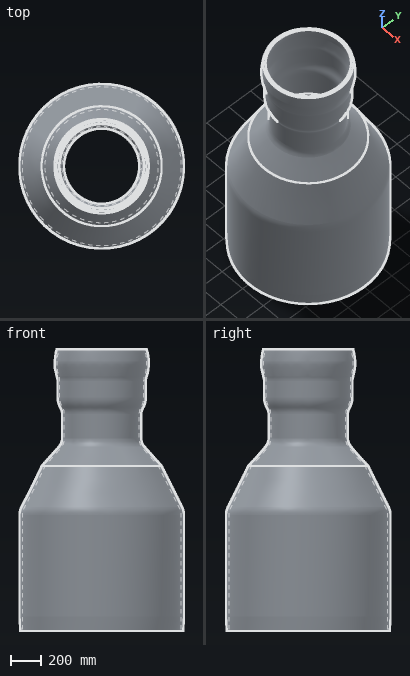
import cadquery as cq
import math

TOTAL_HEIGHT = 1880.0

PIPE_DIAMETER = 1100.0
PIPE_BORE = 1060.0
TIP_DIAMETER = 1089.0
TAPER_TOP = 98.0
SHOULDER_BOTTOM = 773.0
SHOULDER_TOP = 827.0
SHOULDER_ANGLE = 26.5

JOINT_Z = 1102.0

NECK_DIAMETER = 530.0
NECK_BORE = 500.0
SOCKET_DIAMETER = 590.0
BULGE_DIAMETER = 630.0
FLARE_BOTTOM = 1230.0
FLARE_TOP = 1284.0
FLARE_ANGLE = 41.8
SOCKET_START = 1448.0
SOCKET_BEND = 1490.0
SOCKET_FULL = 1557.0
BULGE_START = 1668.0
BULGE_BEND = 1698.0
BULGE_LOW = 1782.0
BULGE_HIGH = 1795.0

pipe_wall = (PIPE_DIAMETER - PIPE_BORE) / 2
neck_wall = (NECK_DIAMETER - NECK_BORE) / 2
pipe_radius = PIPE_DIAMETER / 2
neck_radius = NECK_DIAMETER / 2
socket_radius = SOCKET_DIAMETER / 2
bulge_radius = BULGE_DIAMETER / 2

shoulder_slope = math.radians(SHOULDER_ANGLE)
shoulder_drop = (SHOULDER_TOP - SHOULDER_BOTTOM) * math.tan(shoulder_slope / 2)
shoulder_radius = pipe_radius - shoulder_drop
joint_radius = shoulder_radius - (JOINT_Z - SHOULDER_TOP) * math.tan(shoulder_slope)
joint_bore_radius = joint_radius - pipe_wall / math.cos(shoulder_slope)


def arc_radius(low, high):
    """Signed radius of the arc between two nodes; negative where the outside is hollow."""
    return (high[1] - low[1]) / (math.sin(high[2]) - math.sin(low[2]))


def arc_middle(low, high, wall):
    """Middle point of the arc between two nodes, moved inward by the wall thickness."""
    radius = arc_radius(low, high)
    angle = (low[2] + high[2]) / 2
    center_r = low[0] - radius * math.cos(low[2])
    center_z = low[1] - radius * math.sin(low[2])
    reach = radius - wall
    return (center_r + reach * math.cos(angle), center_z + reach * math.sin(angle))


def inward(node, wall):
    """Point on the inner face opposite a node of the outer face."""
    r, z, angle = node
    return (r - wall * math.cos(angle), z - wall * math.sin(angle))


def draw_side(sketch, nodes, wall):
    """Continue a sketch along nodes (radius, height, normal angle); a turning normal means an arc."""
    for start, end in zip(nodes, nodes[1:]):
        low, high = sorted((start, end), key=lambda node: node[1])
        if math.isclose(low[2], high[2]):
            sketch = sketch.lineTo(*inward(end, wall))
        else:
            sketch = sketch.threePointArc(arc_middle(low, high, wall), inward(end, wall))
    return sketch


def revolve_profile(sketch):
    return sketch.close().revolve(360, (0, 0, 0), (0, 1, 0))


def bend_point(low, high, z):
    """Node where the two arcs of an S-bend between two cylinders (radius, height) meet."""
    rise = high[1] - low[1]
    growth = high[0] - low[0]
    angle = -2 * math.atan2(growth, rise)
    return (low[0] + growth * (z - low[1]) / rise, z, angle)


def make_lower_body():
    side = [
        (pipe_radius, TAPER_TOP, 0.0),
        (pipe_radius, SHOULDER_BOTTOM, 0.0),
        (shoulder_radius, SHOULDER_TOP, shoulder_slope),
    ]
    sketch = cq.Workplane("XZ").moveTo(PIPE_BORE / 2, 0).lineTo(TIP_DIAMETER / 2, 0)
    sketch = sketch.lineTo(pipe_radius, TAPER_TOP)
    sketch = draw_side(sketch, side, 0).lineTo(joint_radius, JOINT_Z)
    sketch = sketch.lineTo(joint_bore_radius, JOINT_Z)
    sketch = sketch.lineTo(*inward(side[-1], pipe_wall))
    sketch = draw_side(sketch, side[::-1], pipe_wall)
    return revolve_profile(sketch)


def flare_node():
    """Node at the foot of the neck flare, where it runs into the upper cone."""
    slope = math.radians(FLARE_ANGLE)
    growth = (FLARE_TOP - FLARE_BOTTOM) * math.tan(slope / 2)
    return (neck_radius + growth, FLARE_BOTTOM, slope)


def make_upper_body():
    socket_bend = bend_point((neck_radius, SOCKET_START), (socket_radius, SOCKET_FULL), SOCKET_BEND)
    bulge_bend = bend_point((socket_radius, BULGE_START), (bulge_radius, BULGE_LOW), BULGE_BEND)
    side = [
        flare_node(),
        (neck_radius, FLARE_TOP, 0.0),
        (neck_radius, SOCKET_START, 0.0),
        socket_bend,
        (socket_radius, SOCKET_FULL, 0.0),
        (socket_radius, BULGE_START, 0.0),
        bulge_bend,
        (bulge_radius, BULGE_LOW, 0.0),
        (bulge_radius, BULGE_HIGH, 0.0),
    ]
    rim_radius = arc_radius(bulge_bend, side[-2])
    rim_angle = math.asin((TOTAL_HEIGHT - BULGE_HIGH) / rim_radius)
    rim = (bulge_radius - rim_radius * (1 - math.cos(rim_angle)), TOTAL_HEIGHT, rim_angle)
    bore_rim_angle = math.asin((TOTAL_HEIGHT - BULGE_HIGH) / (rim_radius - neck_wall))
    bore_rim_drop = (rim_radius - neck_wall) * (1 - math.cos(bore_rim_angle))
    bore_rim_radius = bulge_radius - neck_wall - bore_rim_drop
    bore_rim = (
        bore_rim_radius + neck_wall * math.cos(bore_rim_angle),
        TOTAL_HEIGHT + neck_wall * math.sin(bore_rim_angle),
        bore_rim_angle,
    )

    outer = side + [rim]
    inner = [bore_rim] + side[::-1]
    sketch = cq.Workplane("XZ").moveTo(joint_bore_radius, JOINT_Z).lineTo(joint_radius, JOINT_Z)
    sketch = sketch.lineTo(*inward(outer[0], 0))
    sketch = draw_side(sketch, outer, 0).lineTo(*inward(bore_rim, neck_wall))
    sketch = draw_side(sketch, inner, neck_wall)
    return revolve_profile(sketch)


lower_body = make_lower_body()
upper_body = make_upper_body()
result = cq.Compound.makeCompound([lower_body.val(), upper_body.val()])